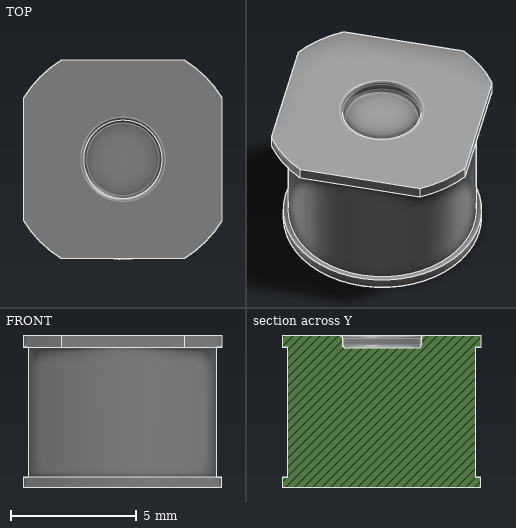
import cadquery as cq

total_height = 6.07
plate_width = 7.92
plate_thickness = 0.48
plate_corner_diameter = 9.305

body_diameter = 7.5
flange_diameter = 7.91
flange_thickness = 0.42
body_offset = (-0.015, -0.015)
flange_offset = (-0.02, -0.028)

recess_diameter = 3.12
recess_depth = 0.5
recess_round = 0.12

plate_bottom = total_height - plate_thickness
body_height = plate_bottom - flange_thickness


def make_plate():
    """Square plate whose corners are cut by a larger concentric circle."""
    square = cq.Workplane("XY", origin=(0, 0, plate_bottom)).rect(plate_width, plate_width)
    corner_disc = cq.Workplane("XY", origin=(0, 0, plate_bottom)).circle(plate_corner_diameter / 2)
    return square.extrude(plate_thickness).intersect(corner_disc.extrude(plate_thickness))


def make_body():
    """Cylindrical body standing on its bottom flange."""
    flange = cq.Workplane("XY").center(*flange_offset).circle(flange_diameter / 2).extrude(flange_thickness)
    body = cq.Workplane("XY", origin=(*body_offset, flange_thickness)).circle(body_diameter / 2)
    return flange.union(body.extrude(body_height))


def make_recess():
    """Revolved cutter for the recess: convex round at the mouth, concave round at the floor."""
    wall = recess_diameter / 2
    floor = total_height - recess_depth
    profile = (
        cq.Workplane("XZ")
        .moveTo(0, floor)
        .lineTo(wall - recess_round, floor)
        .radiusArc((wall, floor + recess_round), -recess_round)
        .lineTo(wall, total_height - recess_round)
        .radiusArc((wall + recess_round, total_height), recess_round)
        .lineTo(0, total_height)
        .close()
    )
    return profile.revolve(360, (0, 0, 0), (0, 1, 0))


result = make_body().union(make_plate()).cut(make_recess())